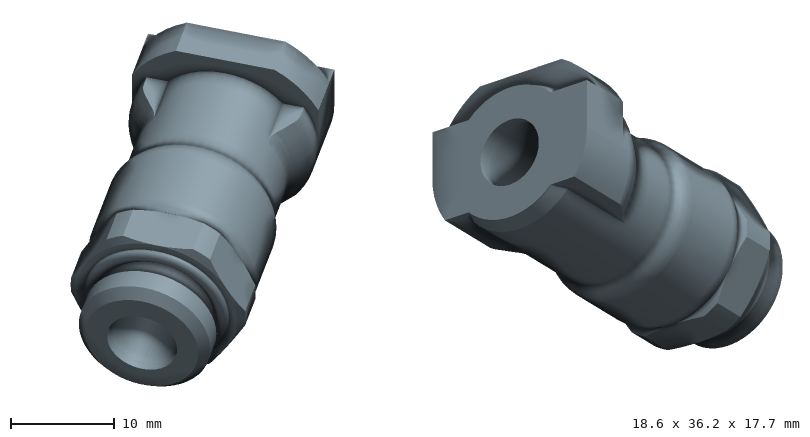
import cadquery as cq
import math

total_length = 36.15
bore_radius = 3.5

spigot_radius = 6.58
spigot_chamfer = 0.95
groove_radius = 5.65
groove_cone_angle = math.radians(45)
groove_rounding = 0.47
spigot_end = 3.1

seal_radius = 7.23
seal_front = 4.8

hex_front = 5.45
hex_rear = 10.0
hex_flats = 16.0
hex_corner_radius = 8.75
hex_chamfer = 0.45

barrel_diameter = 16.8
barrel_radius = barrel_diameter / 2
barrel_front = 11.4
barrel_rear = 18.05
front_taper_angle = math.radians(20)
front_taper_rounding = 1.95
neck_radius = 7.6
barrel_step_outer_rounding = 2.4
barrel_step_inner_rounding = 1.1
shoulder_angle = math.radians(30)

lead_in_start = 34.5
lead_in_end = 36.05
lead_in_radius = 7.0

wing_width = 18.6
wing_half_width = wing_width / 2
wing_half_height = 5.0
wing_underside_radius = 8.95
wing_rounding = 2.6
wing_shoulder_rear = 29.4
wing_block_front = 30.35

plate_top = 9.33
plate_rear = 34.38
plate_radius = 10.55


def revolve_about_axis(profile):
    return profile.close().revolve(360, (0, 0, 0), (0, 1, 0))


def extrude_along_axis(outline, start, end):
    """Extrude an outline drawn in X and Z between two Y positions."""
    return outline.extrude(start - end).translate((0, start, 0))


def outer_arc_point(radius, y, rounding, along, turn):
    """Point on an arc that leaves the radius at y and bends towards the axis."""
    return (
        radius - rounding * (1 - math.cos(turn)),
        y + along * rounding * math.sin(turn),
    )


def inner_arc_point(radius, y, rounding, along, turn):
    """Point on an arc that bends outwards and meets the radius at y."""
    return (
        radius + rounding * (1 - math.cos(turn)),
        y - along * rounding * math.sin(turn),
    )


def shoulder_length(outer_radius, inner_radius, outer_rounding, inner_rounding, angle):
    """Axial length of a cone with a tangent arc at both ends."""
    roundings = outer_rounding + inner_rounding
    cone_drop = outer_radius - inner_radius - roundings * (1 - math.cos(angle))
    return roundings * math.sin(angle) + cone_drop / math.tan(angle)


def add_shoulder(profile, outer_radius, inner_radius, start, outer_rounding, inner_rounding, along):
    """Continue from the outer to the inner radius: convex arc, cone, concave arc.

    The shoulder runs towards +Y when along is 1 and towards -Y when along is -1.
    """
    angle = shoulder_angle
    end = start + along * shoulder_length(
        outer_radius, inner_radius, outer_rounding, inner_rounding, angle
    )
    outer_arc = (outer_radius, start, outer_rounding, along)
    inner_arc = (inner_radius, end, inner_rounding, along)
    return (
        profile.lineTo(outer_radius, start)
        .threePointArc(outer_arc_point(*outer_arc, angle / 2), outer_arc_point(*outer_arc, angle))
        .lineTo(*inner_arc_point(*inner_arc, angle))
        .threePointArc(inner_arc_point(*inner_arc, angle / 2), (inner_radius, end))
    )


def make_spigot():
    groove_start = spigot_end + shoulder_length(
        spigot_radius, groove_radius, 0, groove_rounding, groove_cone_angle
    )
    rounding = (groove_radius, groove_start, groove_rounding, 1)

    profile = (
        cq.Workplane("XY")
        .lineTo(spigot_radius - spigot_chamfer, 0)
        .lineTo(spigot_radius, spigot_chamfer)
        .lineTo(spigot_radius, spigot_end)
        .lineTo(*inner_arc_point(*rounding, groove_cone_angle))
        .threePointArc(
            inner_arc_point(*rounding, groove_cone_angle / 2), (groove_radius, groove_start)
        )
        .lineTo(groove_radius, hex_front)
        .lineTo(0, hex_front)
    )
    return revolve_about_axis(profile)


def make_seal():
    section_radius = hex_front - seal_front
    section_centre = seal_radius - section_radius
    profile = (
        cq.Workplane("XY")
        .moveTo(seal_radius, hex_front)
        .threePointArc((section_centre, seal_front), (section_centre - section_radius, hex_front))
        .lineTo(groove_radius, hex_front)
        .lineTo(groove_radius, hex_front + hex_chamfer)
        .lineTo(seal_radius, hex_front + hex_chamfer)
    )
    return revolve_about_axis(profile)


def make_hexagon():
    corner_to_corner = hex_flats / math.cos(math.pi / 6)
    prism = cq.Workplane("XZ").polygon(6, corner_to_corner)
    prism = extrude_along_axis(prism, hex_front, hex_rear)
    face_radius = hex_flats / 2
    turned_profile = (
        cq.Workplane("XY")
        .moveTo(0, hex_front)
        .lineTo(face_radius, hex_front)
        .lineTo(hex_corner_radius, hex_front + hex_chamfer)
        .lineTo(hex_corner_radius, hex_rear - hex_chamfer)
        .lineTo(face_radius, hex_rear)
        .lineTo(0, hex_rear)
    )
    return prism.intersect(revolve_about_axis(turned_profile))


def make_body():
    front_arc = (barrel_radius, barrel_front, front_taper_rounding, -1)
    taper_radius, taper_y = outer_arc_point(*front_arc, front_taper_angle)
    front_radius = taper_radius - (taper_y - hex_rear) * math.tan(front_taper_angle)

    profile = (
        cq.Workplane("XY")
        .moveTo(0, total_length)
        .lineTo(0, hex_rear)
        .lineTo(front_radius, hex_rear)
        .lineTo(taper_radius, taper_y)
        .threePointArc(
            outer_arc_point(*front_arc, front_taper_angle / 2), (barrel_radius, barrel_front)
        )
    )
    profile = add_shoulder(
        profile,
        barrel_radius,
        neck_radius,
        barrel_rear,
        barrel_step_outer_rounding,
        barrel_step_inner_rounding,
        along=1,
    )
    profile = (
        profile.lineTo(neck_radius, lead_in_start)
        .lineTo(lead_in_radius, lead_in_end)
        .lineTo(lead_in_radius, total_length)
    )
    return revolve_about_axis(profile)


def make_wings():
    profile = (
        cq.Workplane("XY")
        .moveTo(0, total_length)
        .lineTo(wing_half_width, total_length)
    )
    profile = add_shoulder(
        profile,
        wing_half_width,
        neck_radius,
        wing_shoulder_rear,
        wing_rounding,
        wing_rounding,
        along=-1,
    )
    wing_front = wing_shoulder_rear - shoulder_length(
        wing_half_width, neck_radius, wing_rounding, wing_rounding, shoulder_angle
    )
    turned = revolve_about_axis(profile.lineTo(0, wing_front))

    def underside_x(depth):
        arc_centre = wing_half_width - wing_underside_radius
        return arc_centre + math.sqrt(wing_underside_radius**2 - depth**2)

    middle = wing_half_height / 2
    outline = (
        cq.Workplane("XZ")
        .moveTo(-wing_half_width, wing_half_height)
        .lineTo(wing_half_width, wing_half_height)
        .lineTo(wing_half_width, 0)
        .threePointArc(
            (underside_x(middle), -middle),
            (underside_x(wing_half_height), -wing_half_height),
        )
        .lineTo(-underside_x(wing_half_height), -wing_half_height)
        .threePointArc((-underside_x(middle), -middle), (-wing_half_width, 0))
        .close()
    )
    wings = turned.intersect(extrude_along_axis(outline, wing_front, total_length))

    corners = cq.Workplane("XY").box(
        wing_width,
        total_length - wing_block_front,
        wing_half_height,
        centered=(True, False, False),
    )
    return wings.union(corners.translate((0, wing_block_front, 0)))


def make_plate():
    disc = cq.Workplane("XZ").circle(plate_radius)
    disc = extrude_along_axis(disc, wing_block_front, plate_rear)
    limits = cq.Workplane("XY").box(
        wing_width, total_length, plate_top, centered=(True, False, False)
    )
    return disc.intersect(limits)


bore = extrude_along_axis(cq.Workplane("XZ").circle(bore_radius), 0, total_length)

result = (
    make_body()
    .union(make_wings())
    .union(make_plate())
    .union(make_hexagon())
    .union(make_seal())
    .union(make_spigot())
    .cut(bore)
)